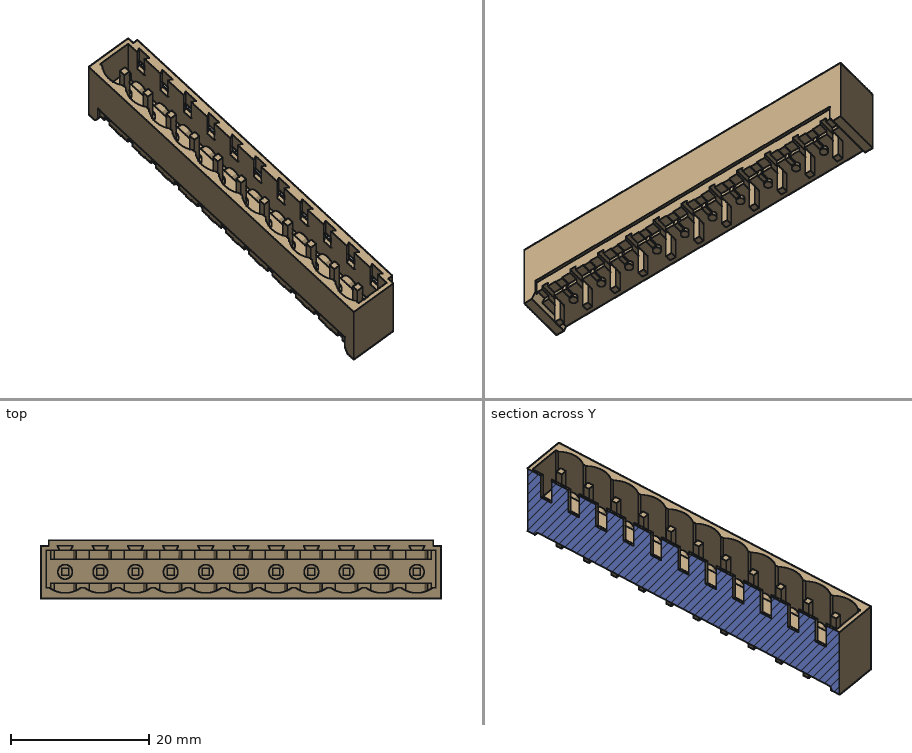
import cadquery as cq
import math

contact_count = 11
pitch = 5.08
pin_width = 1.0
pin_top = 11.0
pin_protrusion = 3.2
pin_counterbore_diameter = 2.1
pin_counterbore_depth = 0.3

length = 57.78
overall_width = 8.43
width = 7.62
front_to_contacts = 3.85
height = 12.0
end_wall = 0.73
rear_wall = 0.65

front_wall = 1.58
scallop_depth = 0.77
scallop_chord = 4.6
bridge_top = 5.2
bridge_front_y = -1.67
bridge_back_y = 1.85
trench_floor = 3.6
trench_end_margin = 1.4

hump_radius = 1.55
hump_half_width = 1.6
hump_flank_angle = math.radians(57)

rail_end_inset = 1.1
rail_thickness = overall_width - width
rail_height = 3.1
keyway_outer_width = 2.26
keyway_inner_width = 1.6
keyway_bottom = 7.85
lip_top = 6.8
lip_height = 0.74
lip_projection = 0.65

end_foot_length = 1.39
chamfer_top_margin = 2.2
recess_end_margin = 1.98
rear_underside = 0.67
front_underside = 1.39
front_step_depth = 1.95
front_recess_depth = 0.4
front_recess_top = 3.6
pin_groove_top = 2.1

foot_diameter = 1.22
rib_width = 0.68
rib_bottom = 0.3
rib_projection = 0.2
lug_drop = 0.17

front_y = -front_to_contacts
back_y = front_y + width
recess_y = front_y + front_recess_depth
step_y = front_y + front_step_depth
cavity_front_y = front_y + front_wall
cavity_back_y = back_y - rear_wall
trench_front_y = cavity_front_y - scallop_depth
half_length = length / 2
first_x = -(contact_count - 1) * pitch / 2
contact_xs = [first_x + i * pitch for i in range(contact_count)]
foot_xs = [x + pitch / 2 for x in contact_xs[:-1]]


def box(x0, x1, y0, y1, z0, z1):
    """Axis-aligned block between opposite corners."""
    return cq.Workplane("XY").box(x1 - x0, y1 - y0, z1 - z0, centered=False).translate((x0, y0, z0))


def centred_box(x, x_size, y0, y1, z0, z1):
    """Block of width x_size centred on x."""
    return box(x - x_size / 2, x + x_size / 2, y0, y1, z0, z1)


def outer_block():
    """Housing block with the rail and the thin lip along its rear face."""
    block = box(-half_length, half_length, front_y, back_y, 0, height)
    rail_half = half_length - rail_end_inset
    rail = box(-rail_half, rail_half, back_y, back_y + rail_thickness, height - rail_height, height)
    lip = box(-rail_half, rail_half, back_y, back_y + lip_projection, lip_top - lip_height, lip_top)
    return block.union(rail).union(lip)


def underside_cut():
    """Space under the floor between the chamfered end walls, stepped higher at the front."""
    chamfer_top_half = half_length - chamfer_top_margin
    end_foot_half = half_length - end_foot_length
    between_ends = (
        cq.Workplane("XZ", origin=(0, back_y, 0))
        .moveTo(-end_foot_half, 0)
        .lineTo(end_foot_half, 0)
        .lineTo(chamfer_top_half, front_underside)
        .lineTo(-chamfer_top_half, front_underside)
        .close()
        .extrude(width)
    )
    rear_floor = box(-half_length, half_length, step_y, back_y, rear_underside, front_underside)
    recess_half = half_length - recess_end_margin
    recess = box(-recess_half, recess_half, front_y, recess_y, 0, front_recess_top)
    return between_ends.cut(rear_floor).union(recess)


def cavity():
    """Mating cavity above the bridge, with the two trenches beside the bridge."""
    half = half_length - end_wall
    trench_half = half_length - trench_end_margin
    opening = box(-half, half, cavity_front_y, cavity_back_y, bridge_top, height)
    front = box(-trench_half, trench_half, cavity_front_y, bridge_front_y, trench_floor, height)
    back = box(-trench_half, trench_half, bridge_back_y, cavity_back_y, trench_floor, height)
    return opening.union(front).union(back)


def scallop(x):
    """Shallow arc cut into the inside of the front wall."""
    return (
        cq.Workplane("XY", origin=(x, cavity_front_y, trench_floor))
        .moveTo(-scallop_chord / 2, 0)
        .threePointArc((0, -scallop_depth), (scallop_chord / 2, 0))
        .close()
        .extrude(height - trench_floor)
    )


def keyway(x):
    """Dovetail slot in the rear wall, open at the top and widest at the rear face."""
    return (
        cq.Workplane("XY", origin=(x, cavity_back_y, keyway_bottom))
        .moveTo(-keyway_inner_width / 2, 0)
        .lineTo(keyway_inner_width / 2, 0)
        .lineTo(keyway_outer_width / 2, rear_wall)
        .lineTo(-keyway_outer_width / 2, rear_wall)
        .close()
        .extrude(height - keyway_bottom)
    )


def hump(x):
    """Low arch with straight sloping flanks, rising from both trench floors beside a contact."""
    shoulder_x = hump_radius * math.sin(hump_flank_angle)
    shoulder_z = trench_floor + (hump_half_width - shoulder_x) * math.tan(hump_flank_angle)
    crown_z = shoulder_z + hump_radius * (1 - math.cos(hump_flank_angle))
    return (
        cq.Workplane("XZ", origin=(x, cavity_back_y, 0))
        .moveTo(-hump_half_width, trench_floor)
        .lineTo(-shoulder_x, shoulder_z)
        .threePointArc((0, crown_z), (shoulder_x, shoulder_z))
        .lineTo(hump_half_width, trench_floor)
        .close()
        .extrude(cavity_back_y - trench_front_y)
    )


def pin(x):
    """Square contact pin through the floor."""
    half = pin_width / 2
    return centred_box(x, pin_width, -half, half, -pin_protrusion, pin_top)


def pin_groove(x):
    """Groove in the underside that runs from the front face to a pin."""
    return centred_box(x, pin_width, front_y, 0, 0, pin_groove_top)


def pin_counterbore(x):
    """Shallow round recess around a pin in the top of the bridge."""
    floor = cq.Workplane("XY", origin=(x, 0, bridge_top - pin_counterbore_depth))
    return floor.circle(pin_counterbore_diameter / 2).extrude(pin_counterbore_depth)


def foot(x):
    """Round standoff foot with a flat rib on its front, and a shallow lug under the front wall."""
    post = cq.Workplane("XY", origin=(x, 0, 0)).circle(foot_diameter / 2).extrude(front_underside)
    rib = centred_box(x, rib_width, step_y - rib_projection, 0, rib_bottom, front_underside)
    lug = centred_box(x, foot_diameter, recess_y, step_y, front_underside - lug_drop, front_underside)
    return post.union(rib).union(lug)


housing = outer_block().cut(underside_cut()).cut(cavity())
for x in contact_xs:
    housing = housing.cut(scallop(x)).cut(keyway(x))
    housing = housing.cut(pin_groove(x)).cut(pin_counterbore(x))
    housing = housing.union(hump(x)).union(pin(x))
for x in foot_xs:
    housing = housing.union(foot(x))

result = housing